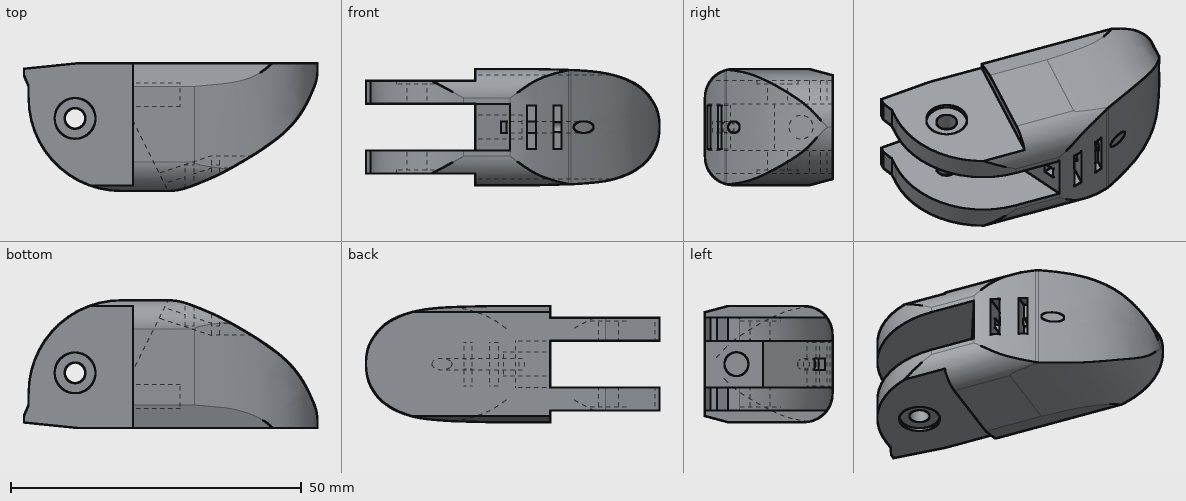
import cadquery as cq
import math


hinge_end_x = -8.8
tip_x = 41.69
back_y = 9.5
front_y = -12.5
half_height = 10.0
total_length = tip_x - hinge_end_x
margin = 5.0

ear_step_x = 10.0
ear_outer_z = 8.0
ear_inner_z = 4.0
ear_arc_radius = 16.0
ear_arc_x = 8.0
ear_arc_y = front_y + ear_arc_radius
ear_arc_left_x = ear_arc_x - ear_arc_radius
heel_start_y = 5.5
heel_low_y = 7.4
heel_high_y = 8.55
back_slope_end_x = 0.5
pivot_diameter = 3.5
pivot_recess_diameter = 7.0
pivot_recess_depth = 0.6

corner_radius = 5.0
chamfer_width = 4.0
chamfer_angle = 15.0
chamfer_drop = chamfer_width * math.tan(math.radians(chamfer_angle))

pad_start_x = 16.0
pad_curve = [(20.5, -11.47), (26.0, -9.0)]
pad_flat_slope = math.radians(29.0)
pad_flat_length = 0.54
tip_curve = [(31.0, -6.08), (35.14, -3.15), (38.79, 0.82), (41.08, 5.35)]
tip_flat_y = 8.6

nose_start_x = 20.5
nose_start_slope = 0.027
nose_curve = [(26.5, 9.84), (31.5, 9.42), (35.5, 8.41), (38.79, 6.5), (40.9, 3.75)]

mouth_slant_y = -0.5
mouth_front_x = pad_start_x

socket_y = 4.05
socket_diameter = 4.1
socket_depth = 8.0

slot_floor_y = -8.04
slot_half_length = 3.75
rear_slot_x = (18.9, 20.4)
front_slot_x = (23.45, 24.8)

channel_width = 2.0
channel_start_x = 14.9
channel_start_y = -10.3
channel_slope = 0.33
pin_diameter = 2.0
pin_y = -7.5
pin_start_x = front_slot_x[1]


def box_between(x_range, y_range, z_range):
    """Box given by its limits along each axis."""
    sizes = [high - low for low, high in (x_range, y_range, z_range)]
    corner = (x_range[0], y_range[0], z_range[0])
    return cq.Workplane("XY").box(*sizes, centered=False).translate(corner)


def cylinder_along_x(diameter, y, x_start, x_end):
    """Cylinder parallel to X on the mid-plane Z = 0."""
    start_plane = cq.Workplane("YZ", origin=(x_start, y, 0))
    return start_plane.circle(diameter / 2).extrude(x_end - x_start)


def plan_prism():
    """Outline in X and Y, extruded over the full height."""
    diagonal = ear_arc_radius * math.sqrt(0.5)
    flat_direction = (math.cos(pad_flat_slope), math.sin(pad_flat_slope))
    outline = (
        cq.Workplane("XY", origin=(0, 0, -half_height))
        .moveTo(back_slope_end_x, back_y)
        .lineTo(hinge_end_x, heel_high_y)
        .lineTo(hinge_end_x, heel_low_y)
        .lineTo(ear_arc_left_x, heel_start_y)
        .lineTo(ear_arc_left_x, ear_arc_y)
        .threePointArc((ear_arc_x - diagonal, ear_arc_y - diagonal), (ear_arc_x, front_y))
        .lineTo(pad_start_x, front_y)
        .spline(pad_curve, tangents=[(1, 0), flat_direction], includeCurrent=True)
        .line(*[pad_flat_length * part for part in flat_direction])
        .spline(
            tip_curve + [(tip_x, tip_flat_y)],
            tangents=[flat_direction, (0, 1)],
            includeCurrent=True,
        )
        .lineTo(tip_x, back_y)
        .close()
    )
    return outline.extrude(2 * half_height)


def section_prism():
    """Cross-section in Y and Z: chamfered back edges and rounded front edges."""
    height = 2 * half_height
    bar = box_between((hinge_end_x, tip_x), (front_y, back_y), (-half_height, half_height))
    bar = bar.edges("|X and <Y").fillet(corner_radius)
    section_end = cq.Workplane("YZ", origin=(hinge_end_x, back_y, 0))
    for side in (1, -1):
        wedge = section_end.polyline(
            [
                (-chamfer_width, side * height / 2),
                (0, side * height / 2),
                (0, side * (height / 2 - chamfer_drop)),
            ]
        ).close()
        bar = bar.cut(wedge.extrude(total_length))
    return bar


def nose_prism():
    """Outline in X and Z: straight sides running into a rounded tip."""
    upper = nose_curve + [(tip_x, 0)]
    lower = [(x, -z) for x, z in reversed(nose_curve)] + [(nose_start_x, -half_height)]
    outline = (
        cq.Workplane("XZ", origin=(0, back_y, 0))
        .moveTo(hinge_end_x, half_height)
        .lineTo(nose_start_x, half_height)
        .spline(upper, tangents=[(1, -nose_start_slope), (0, -1)], includeCurrent=True)
        .spline(lower, tangents=[(0, -1), (-1, -nose_start_slope)], includeCurrent=True)
        .lineTo(hinge_end_x, -half_height)
        .close()
    )
    return outline.extrude(back_y - front_y)


def mouth_cutter():
    """Gap between the ears."""
    outline = cq.Workplane("XY", origin=(0, 0, -ear_inner_z)).polyline(
        [
            (hinge_end_x - margin, back_y + margin),
            (ear_step_x, back_y + margin),
            (ear_step_x, mouth_slant_y),
            (mouth_front_x, front_y),
            (mouth_front_x, front_y - margin),
            (hinge_end_x - margin, front_y - margin),
        ]
    )
    return outline.close().extrude(2 * ear_inner_z)


def cut_ears(body):
    """Thin the ears, open the mouth and bore the recessed pivot hole."""
    x_range = (hinge_end_x - margin, ear_step_x)
    y_range = (front_y - margin, back_y + margin)
    for z_range in (
        (ear_outer_z, half_height + margin),
        (-half_height - margin, -ear_outer_z),
    ):
        body = body.cut(box_between(x_range, y_range, z_range))
    body = body.cut(mouth_cutter())
    pivot = cq.Workplane("XY").circle(pivot_diameter / 2).extrude(half_height, both=True)
    body = body.cut(pivot)
    for recess_start in (ear_outer_z - pivot_recess_depth, -ear_outer_z):
        recess = cq.Workplane("XY", origin=(0, 0, recess_start))
        body = body.cut(recess.circle(pivot_recess_diameter / 2).extrude(pivot_recess_depth))
    return body


def cord_channel():
    """Slanted channel: square up to the rear slot, round from there to the front slot."""
    incline = math.atan(channel_slope)
    start = (channel_start_x, channel_start_y, 0)
    axis = cq.Vector(math.cos(incline), math.sin(incline), 0)
    entry = cq.Workplane(cq.Plane(origin=start, xDir=(0, 0, 1), normal=axis))
    square_length = (rear_slot_x[1] - channel_start_x) / math.cos(incline)
    round_length = (front_slot_x[1] - channel_start_x) / math.cos(incline)
    square = entry.workplane(offset=-channel_width).rect(channel_width, channel_width)
    square = square.extrude(square_length + 2 * channel_width)
    bore = entry.circle(channel_width / 2).extrude(round_length)
    y_range = (front_y, back_y)
    z_range = (-half_height, half_height)
    square = square.intersect(box_between((ear_step_x, rear_slot_x[1]), y_range, z_range))
    bore = bore.intersect(box_between((channel_start_x, front_slot_x[0]), y_range, z_range))
    return square.union(bore)


def make_outer_shape():
    """Solid envelope of the fingertip."""
    return plan_prism().intersect(section_prism()).intersect(nose_prism())


def make_housing(envelope):
    housing = cut_ears(envelope)
    socket = cylinder_along_x(socket_diameter, socket_y, ear_step_x, ear_step_x + socket_depth)
    housing = housing.cut(socket)
    for slot_x in (rear_slot_x, front_slot_x):
        slot = box_between(
            slot_x, (front_y - margin, slot_floor_y), (-slot_half_length, slot_half_length)
        )
        housing = housing.cut(slot)
    housing = housing.cut(cord_channel())
    return housing.cut(cylinder_along_x(pin_diameter, pin_y, front_slot_x[0], tip_x))


def make_pin(envelope):
    """Pin ahead of the front slot, ending flush with the pad."""
    return cylinder_along_x(pin_diameter, pin_y, pin_start_x, tip_x).intersect(envelope)


envelope = make_outer_shape()
housing = make_housing(envelope)
pin = make_pin(envelope)

result = cq.Compound.makeCompound([housing.solids().val(), pin.solids().val()])